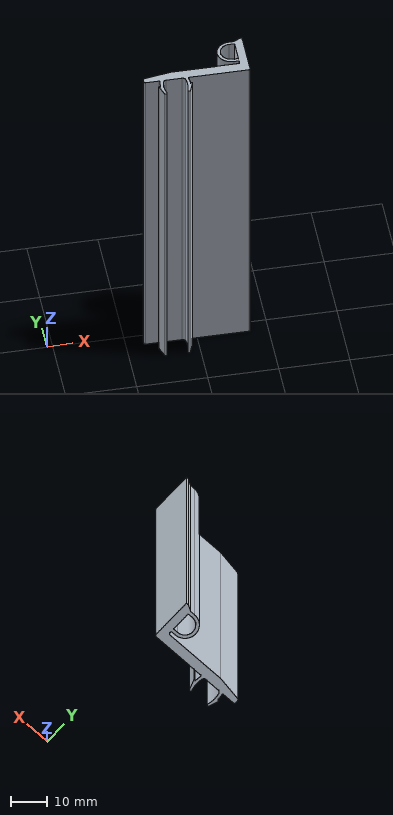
import math

import cadquery as cq

length = 100.0

body_width = 30.0
wall_height = 13.0
plate_thickness = 3.0
wall_thickness = 2.5
taper_length = 8.0
toe_thickness = 1.7
toe_top_radius = 0.75
toe_bottom_radius = 0.5
heel_radius = 0.5
inner_corner_radius = 0.5

bulb_radius = 4.0
bulb_skin = 1.0
bulb_center_x = 26.0
bulb_center_y = 8.0

rim_width = 0.75

clip_axis_x = 8.5
leg_length = 5.5
leg_root_inner = 2.95
leg_root_outer = 3.95
leg_root_radius = 0.9
leg_outer_root_radius = 0.3
leg_outer_bow = 0.05
leg_waist_inner = 3.3
leg_waist_depth = 3.0
barb_root_outer = 4.25
barb_tip_outer = 4.75
barb_depth = 2.25
tip_center = 3.3
tip_radius = 0.38
flank_angle = math.radians(20.5)

wall_x = body_width - wall_thickness
bulb_top = bulb_center_y + bulb_radius


def extrude_outline(points):
    """Close a polygon and extrude it over the full length."""
    return cq.Workplane("XY").polyline(points).close().extrude(length)


def round_edge(solid, x, y, radius):
    """Round the lengthwise edge nearest to the profile point (x, y)."""
    return solid.edges("|Z").edges(cq.NearestToPointSelector((x, y, length / 2))).fillet(radius)


def make_body():
    """L-shaped body with a tapered toe, a sloped wall top and rounded corners."""
    body = extrude_outline([
        (0, 0),
        (body_width, 0),
        (body_width, wall_height),
        (body_width - rim_width, wall_height),
        (wall_x, bulb_top),
        (wall_x, plate_thickness),
        (taper_length, plate_thickness),
        (0, toe_thickness),
    ])
    body = round_edge(body, 0, 0, toe_bottom_radius)
    body = round_edge(body, 0, toe_thickness, toe_top_radius)
    body = round_edge(body, body_width, 0, heel_radius)
    return round_edge(body, wall_x, plate_thickness, inner_corner_radius)


def make_d_shape(radius):
    """Half round with straight sides running to the wall."""
    return (
        cq.Workplane("XY")
        .moveTo(wall_x, bulb_center_y + radius)
        .lineTo(bulb_center_x, bulb_center_y + radius)
        .threePointArc((bulb_center_x - radius, bulb_center_y), (bulb_center_x, bulb_center_y - radius))
        .lineTo(wall_x, bulb_center_y - radius)
        .close()
        .extrude(length)
    )


def make_leg(side):
    """Barbed clip leg; side is -1 for the toe side, +1 for the wall side."""
    tip_y = tip_radius - leg_length
    flank_end = tip_center + tip_radius * math.cos(flank_angle)
    flank_end_y = tip_y - tip_radius * math.sin(flank_angle)
    outer_middle = (leg_root_outer + barb_root_outer) / 2 + leg_outer_bow

    def place(offset, y):
        return (clip_axis_x + side * offset, y)

    return (
        cq.Workplane("XY")
        .moveTo(*place(leg_root_inner, 0))
        .threePointArc(place(leg_waist_inner, -leg_waist_depth), place(tip_center - tip_radius, tip_y))
        .threePointArc(place(tip_center, -leg_length), place(flank_end, flank_end_y))
        .lineTo(*place(barb_tip_outer, -barb_depth))
        .lineTo(*place(barb_root_outer, -barb_depth))
        .threePointArc(place(outer_middle, -barb_depth / 2), place(leg_root_outer, 0))
        .close()
        .extrude(length)
    )


bulb = make_d_shape(bulb_radius).cut(make_d_shape(bulb_radius - bulb_skin))
result = make_body().union(bulb)
for side in (-1, 1):
    result = result.union(make_leg(side))
    result = round_edge(result, clip_axis_x + side * leg_root_inner, 0, leg_root_radius)
    result = round_edge(result, clip_axis_x + side * leg_root_outer, 0, leg_outer_root_radius)